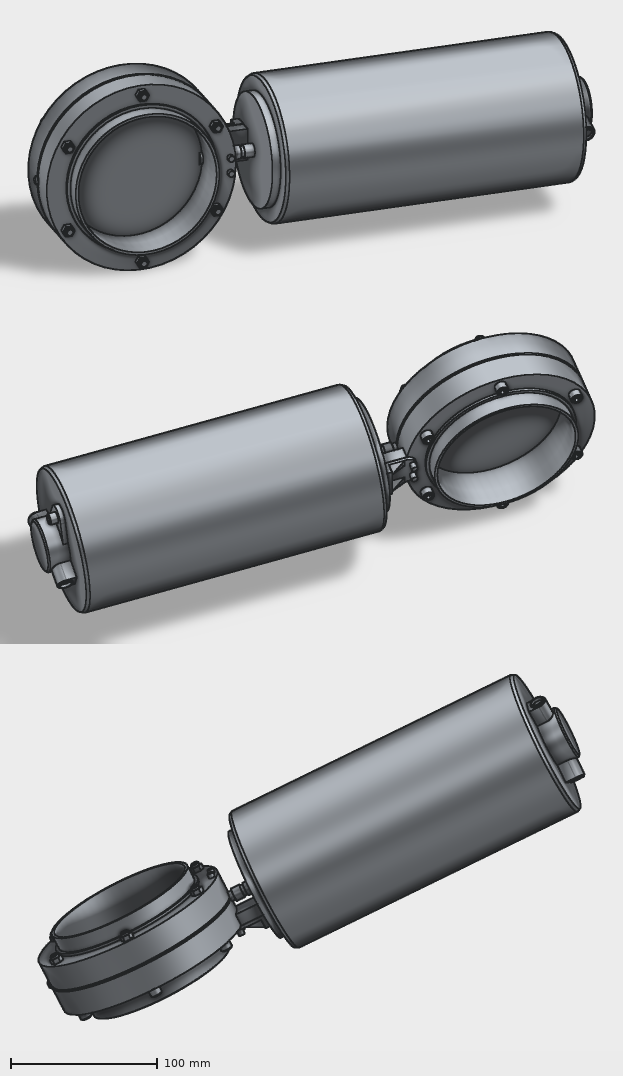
import cadquery as cq
import math


FLANGE_DIAMETER = 137.0
FLANGE_THICKNESS = 19.0
SEAM_CHAMFER = 0.8
STEP_DIAMETER = 109.0
STEP_LENGTH = 2.0
PIPE_DIAMETER = 104.0
PIPE_WALL = 2.0
PIPE_END = 32.0
BORE_DIAMETER = PIPE_DIAMETER - 2 * PIPE_WALL

BOLT_COUNT = 6
BOLT_CIRCLE_RADIUS = 62.0
BOLT_PITCH = 360 / BOLT_COUNT
HEAD_DIAMETER = 8.5
HEAD_LENGTH = 6.0
HEAD_CHAMFER = 0.8
SOCKET_ACROSS_CORNERS = 4.8
SOCKET_DEPTH = 3.0
NUT_ACROSS_CORNERS = 8.7
NUT_LENGTH = 3.5
BOLT_TIP_DIAMETER = 6.0
BOLT_TIP_LENGTH = 2.5
BOLT_TIP_CHAMFER = 0.8

DISC_THICKNESS = 4.0
JOURNAL_DIAMETER = 9.5
JOURNAL_START = 48.0
JOURNAL_END = 65.2
NECK_DIAMETER = 7.0
PIVOT_DIAMETER = 6.5
PIVOT_END = -70.5
PIVOT_CHAMFER = 1.0
STEM_DIAMETER = 9.5
STEM_SHOULDER = 71.5
GROOVE_CENTRE = 79.0
GROOVE_WIDTH = 2.5
GROOVE_DEPTH = 0.8

ACTUATOR_DIAMETER = 104.0
ACTUATOR_FRONT = 93.5
ACTUATOR_REAR = 311.5
ACTUATOR_CHAMFER_LENGTH = 2.5
ACTUATOR_CHAMFER_DEPTH = 1.0
END_PLATE_DIAMETER = 81.0
END_PLATE_FRONT = 87.5
BOSS_DIAMETER = 37.8
BOSS_REAR = PIVOT_END + 397.5
BOSS_CHAMFER = 1.0

PORT_TILT = 17
PORT_Y = 319.0
PORT_RADIUS = 6.0
PORT_BODY_END = 31.0
PORT_LIP_DIAMETER = 10.5
PORT_LIP_END = 32.2
PORT_HOLE_DIAMETER = 8.5
PORT_HOLE_DEPTH = 2.5

LUG_RADIUS = 8.7
LUG_THICKNESS = 3.5
LUG_FOOT_HALF_WIDTH = 14.0
LUG_FOOT_Z = 12.5
PLUG_Z = 26.5
PLUG_DIAMETER = 8.0
PLUG_CHAMFER = 0.8
PLUG_REAR = 321.0

BRACKET_HALF_HEIGHT = 12.0
PLATE_THICKNESS = 2.5
PLATE_END = 61.2
PLATE_CORNER_RADIUS = 8.0
BLOCK_WIDTH = 8.7
BLOCK_HALF_HEIGHT = 11.5
FOOT_EDGE = -28.2
FOOT_THICKNESS = 6.0
GUSSET_BASE = 5.5
GUSSET_END = 70.0
BRACKET_BOLT_Y = 64.5
BRACKET_BOLT_Z = 5.5
BRACKET_BOLT_DIAMETER = 4.5
BRACKET_BOLT_HEAD = 4.8
BRACKET_BOLT_TIP = 3.0
PLATE_OUTER_X = -FLANGE_THICKNESS - PLATE_THICKNESS


def x_cylinder(diameter, start, end, y=0, z=0):
    """Cylinder along X between two X positions."""
    return cq.Workplane("YZ", origin=(start, y, z)).circle(diameter / 2).extrude(end - start)


def y_cylinder(diameter, start, end, x=0, z=0):
    """Cylinder along Y between two Y positions."""
    profile = cq.Workplane("XZ", origin=(x, start, z)).circle(diameter / 2)
    return profile.extrude(start - end)


def box(x_range, y_range, z_range):
    """Box between two limits on each axis."""
    size = [end - start for start, end in (x_range, y_range, z_range)]
    corner = (x_range[0], y_range[0], z_range[0])
    return cq.Workplane("XY", origin=corner).box(*size, centered=False)


def bolt_places():
    """Y and Z of every flange bolt, the first one straight above the bore."""
    angles = [math.radians(90 + BOLT_PITCH * index) for index in range(BOLT_COUNT)]
    return [(BOLT_CIRCLE_RADIUS * math.cos(a), BOLT_CIRCLE_RADIUS * math.sin(a)) for a in angles]


def bracket_bolt_places():
    """Y and Z of the two bolts that clamp the bracket to the flanges."""
    return [(BRACKET_BOLT_Y, side * BRACKET_BOLT_Z) for side in (-1, 1)]


def stem_body():
    """Stem with its pivot: both journals end flat just inside the bore and leave it open between them."""
    pivot = y_cylinder(PIVOT_DIAMETER, PIVOT_END, -JOURNAL_END).faces("<Y").chamfer(PIVOT_CHAMFER)
    lower_journal = y_cylinder(JOURNAL_DIAMETER, -JOURNAL_END, -JOURNAL_START)
    upper_journal = y_cylinder(JOURNAL_DIAMETER, JOURNAL_START, JOURNAL_END)
    neck = y_cylinder(NECK_DIAMETER, JOURNAL_END, STEM_SHOULDER)
    stem = y_cylinder(STEM_DIAMETER, STEM_SHOULDER, END_PLATE_FRONT)
    groove_start = GROOVE_CENTRE - GROOVE_WIDTH / 2
    groove_end = GROOVE_CENTRE + GROOVE_WIDTH / 2
    groove = y_cylinder(STEM_DIAMETER, groove_start, groove_end)
    groove = groove.cut(y_cylinder(STEM_DIAMETER - 2 * GROOVE_DEPTH, groove_start, groove_end))
    lower_end = pivot.union(lower_journal)
    upper_end = upper_journal.union(neck).union(stem).cut(groove)
    return lower_end.union(upper_end)


def make_disc():
    """Closed valve disc with its stem."""
    disc = x_cylinder(BORE_DIAMETER, -DISC_THICKNESS / 2, DISC_THICKNESS / 2)
    return disc.union(stem_body())


def make_flange(side):
    """One half of the valve body: side -1 lies at -X, side 1 at +X."""
    seam = x_cylinder(FLANGE_DIAMETER, 0, side * FLANGE_THICKNESS)
    seam = seam.faces(">X" if side < 0 else "<X").chamfer(SEAM_CHAMFER)
    step = x_cylinder(STEP_DIAMETER, 0, side * (FLANGE_THICKNESS + STEP_LENGTH))
    pipe = x_cylinder(PIPE_DIAMETER, 0, side * PIPE_END)
    bore = x_cylinder(BORE_DIAMETER, 0, side * PIPE_END)
    return seam.union(step).union(pipe).cut(bore).cut(stem_body())


def make_head_flange():
    """Flange at -X with the socket heads of the bolts."""
    flange = make_flange(-1)
    head_end = -FLANGE_THICKNESS - HEAD_LENGTH
    for y, z in bolt_places():
        head = x_cylinder(HEAD_DIAMETER, -FLANGE_THICKNESS, head_end, y, z)
        head = head.faces("<X").chamfer(HEAD_CHAMFER)
        socket = cq.Workplane("YZ", origin=(head_end, y, z)).polygon(6, SOCKET_ACROSS_CORNERS)
        flange = flange.union(head).cut(socket.extrude(SOCKET_DEPTH))
    return flange


def make_nut_flange():
    """Flange at +X with the nuts and the bolt tips."""
    flange = make_flange(1)
    nut_end = FLANGE_THICKNESS + NUT_LENGTH
    for y, z in bolt_places():
        nut = cq.Workplane("YZ", origin=(FLANGE_THICKNESS, y, z)).polygon(6, NUT_ACROSS_CORNERS)
        tip = x_cylinder(BOLT_TIP_DIAMETER, nut_end, nut_end + BOLT_TIP_LENGTH, y, z)
        tip = tip.faces(">X").chamfer(BOLT_TIP_CHAMFER)
        flange = flange.union(nut.extrude(NUT_LENGTH)).union(tip)
    for y, z in bracket_bolt_places():
        tip_end = FLANGE_THICKNESS + BRACKET_BOLT_TIP
        flange = flange.union(x_cylinder(BRACKET_BOLT_DIAMETER, FLANGE_THICKNESS, tip_end, y, z))
    return flange


def gusset(side):
    """Gusset at the upper or lower edge of the bracket, tapered from the plate to a ridge."""
    outer_z = side * BRACKET_HALF_HEIGHT
    inner_z = side * (BRACKET_HALF_HEIGHT - GUSSET_BASE)
    foot_front = END_PLATE_FRONT - FOOT_THICKNESS
    wedge = (
        cq.Workplane("XZ", origin=(0, GUSSET_END, 0))
        .moveTo(PLATE_OUTER_X, outer_z)
        .lineTo(FOOT_EDGE, (outer_z + inner_z) / 2)
        .lineTo(PLATE_OUTER_X, inner_z)
        .close()
        .extrude(GUSSET_END - foot_front)
    )
    slope = (
        cq.Workplane("XY", origin=(0, 0, -BRACKET_HALF_HEIGHT))
        .moveTo(FOOT_EDGE, foot_front)
        .lineTo(PLATE_OUTER_X, foot_front)
        .lineTo(PLATE_OUTER_X, GUSSET_END)
        .close()
        .extrude(2 * BRACKET_HALF_HEIGHT)
    )
    return wedge.intersect(slope)


def make_bracket():
    """Gusseted angle bracket between the actuator and the rim of the valve."""
    heights = (-BRACKET_HALF_HEIGHT, BRACKET_HALF_HEIGHT)
    plate = box((PLATE_OUTER_X, -FLANGE_THICKNESS), (PLATE_END, END_PLATE_FRONT), heights)
    plate = plate.edges("|X and <Y").fillet(PLATE_CORNER_RADIUS)
    foot = box((FOOT_EDGE, PLATE_OUTER_X), (END_PLATE_FRONT - FOOT_THICKNESS, END_PLATE_FRONT), heights)
    block = box(
        (-FLANGE_THICKNESS, -FLANGE_THICKNESS + BLOCK_WIDTH),
        (0, END_PLATE_FRONT),
        (-BLOCK_HALF_HEIGHT, BLOCK_HALF_HEIGHT),
    )
    block = block.cut(x_cylinder(FLANGE_DIAMETER, -FLANGE_THICKNESS, 0))
    bracket = plate.union(foot).union(block)
    for side in (-1, 1):
        bracket = bracket.union(gusset(side))
    for y, z in bracket_bolt_places():
        head_end = PLATE_OUTER_X - BRACKET_BOLT_HEAD
        bracket = bracket.union(x_cylinder(BRACKET_BOLT_DIAMETER, PLATE_OUTER_X, head_end, y, z))
    return bracket


def air_port(side):
    """Port on one side of the boss: a round-backed body on the barrel with an open lip."""
    body = box((0, PORT_BODY_END), (ACTUATOR_REAR, PORT_Y), (-PORT_RADIUS, PORT_RADIUS))
    body = body.union(x_cylinder(2 * PORT_RADIUS, 0, PORT_BODY_END, PORT_Y))
    lip = x_cylinder(PORT_LIP_DIAMETER, 0, PORT_LIP_END, PORT_Y)
    hole = x_cylinder(PORT_HOLE_DIAMETER, PORT_LIP_END - PORT_HOLE_DEPTH, PORT_LIP_END, PORT_Y)
    port = body.union(lip).cut(hole).rotate((0, 0, 0), (0, 1, 0), PORT_TILT)
    return port if side > 0 else port.mirror("YZ")


def vent_lug():
    """Lug with sides tangent to the round around its vent plug."""
    drop = PLUG_Z - LUG_FOOT_Z
    distance = math.hypot(LUG_FOOT_HALF_WIDTH, drop)
    tangent = math.acos(LUG_RADIUS / distance) - math.atan2(drop, LUG_FOOT_HALF_WIDTH)
    tangent_x = LUG_RADIUS * math.cos(tangent)
    tangent_z = PLUG_Z + LUG_RADIUS * math.sin(tangent)
    lug = (
        cq.Workplane("XZ", origin=(0, ACTUATOR_REAR, 0))
        .moveTo(-LUG_FOOT_HALF_WIDTH, LUG_FOOT_Z)
        .lineTo(LUG_FOOT_HALF_WIDTH, LUG_FOOT_Z)
        .lineTo(tangent_x, tangent_z)
        .threePointArc((0, PLUG_Z + LUG_RADIUS), (-tangent_x, tangent_z))
        .close()
        .extrude(-LUG_THICKNESS)
    )
    plug = y_cylinder(PLUG_DIAMETER, ACTUATOR_REAR, PLUG_REAR, z=PLUG_Z)
    return lug.union(plug.faces(">Y").chamfer(PLUG_CHAMFER))


def make_actuator():
    """Actuator cylinder with its end plate, rear boss, air ports and vent."""
    radius = ACTUATOR_DIAMETER / 2
    end_radius = radius - ACTUATOR_CHAMFER_DEPTH
    barrel = (
        cq.Workplane("XY")
        .moveTo(0, ACTUATOR_FRONT)
        .lineTo(end_radius, ACTUATOR_FRONT)
        .lineTo(radius, ACTUATOR_FRONT + ACTUATOR_CHAMFER_LENGTH)
        .lineTo(radius, ACTUATOR_REAR - ACTUATOR_CHAMFER_LENGTH)
        .lineTo(end_radius, ACTUATOR_REAR)
        .lineTo(0, ACTUATOR_REAR)
        .close()
        .revolve(360, (0, 0, 0), (0, 1, 0))
    )
    end_plate = y_cylinder(END_PLATE_DIAMETER, END_PLATE_FRONT, ACTUATOR_FRONT)
    boss = y_cylinder(BOSS_DIAMETER, ACTUATOR_REAR, BOSS_REAR).faces(">Y").chamfer(BOSS_CHAMFER)
    body = barrel.union(end_plate).union(boss).union(vent_lug())
    for side in (-1, 1):
        body = body.union(air_port(side))
    return body


actuator = make_actuator()
bracket = make_bracket()
head_flange = make_head_flange()
nut_flange = make_nut_flange()
disc = make_disc()

result = cq.Compound.makeCompound(
    [actuator.val(), bracket.val(), head_flange.val(), nut_flange.val(), disc.val()]
)